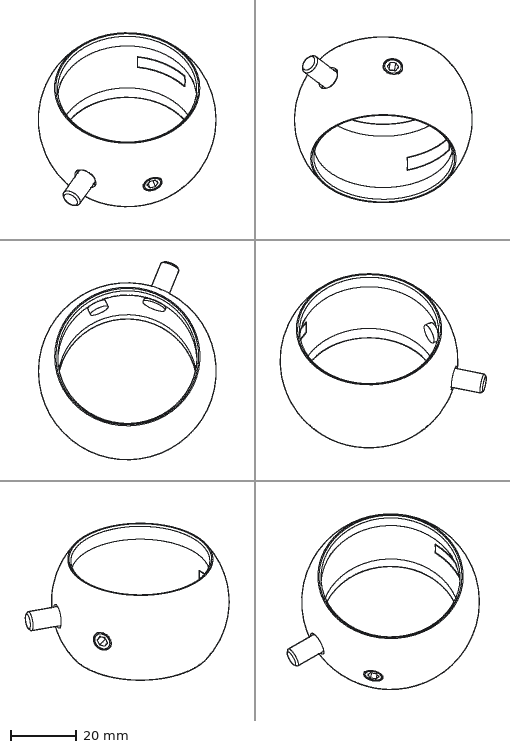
import cadquery as cq
import math

overall_length = 63.8

ball_radius = 27.25
rim_radius = 22.25
ring_height = 30.0
bore_radius = 21.3
bore_chamfer = 0.6
hollow_height = 19.8

label_height = 4.85
label_half_angle = 20.5
label_depth = 0.2

pin_angle = -90.0
pin_radius = 3.0
pin_length = 14.05
pin_chamfer = 0.65
shank_radius = 3.65
shoulder_recess = 1.0

screw_radius = 3.0
screw_angle = -45.0
screw_length = 5.75
screw_recess = 0.2
screw_chamfer = 0.45
hex_across_flats = 3.0
hex_depth = 3.8

hole_overrun = 3.2

pin_tip = overall_length - ball_radius
pin_inner_end = pin_tip - pin_length
shoulder_face = ball_radius - shoulder_recess
hollow_radius = math.hypot(bore_radius, hollow_height / 2)
screw_face = ball_radius - screw_recess
screw_inner_end = screw_face - screw_length
hex_corner_diameter = hex_across_flats / math.cos(math.radians(30))


def point_along(solid, angle):
    """Turn a shape built along +X so that it points at the given angle about Z."""
    return solid.rotate((0, 0, 0), (0, 0, 1), angle)


def radial_rod(inner_end, outer_end, radius):
    """Cylinder along +X between two distances from the ring axis."""
    return cq.Workplane("YZ", origin=(inner_end, 0, 0)).circle(radius).extrude(outer_end - inner_end)


def ring_blank():
    """Revolved ring section with a bulging outside and a bore chamfered at both rims."""
    half_height = ring_height / 2
    straight_half = half_height - bore_chamfer
    lead_in_radius = bore_radius + bore_chamfer
    section = (
        cq.Workplane("XZ")
        .moveTo(bore_radius, -straight_half)
        .lineTo(lead_in_radius, -half_height)
        .lineTo(rim_radius, -half_height)
        .threePointArc((ball_radius, 0), (rim_radius, half_height))
        .lineTo(lead_in_radius, half_height)
        .lineTo(bore_radius, straight_half)
        .close()
    )
    return section.revolve(360, (0, 0, 0), (0, 1, 0))


def label_recess():
    """Curved pocket tool: a wedge of a slightly larger ball, limited in height."""
    reach = 2 * ball_radius
    half_width = reach * math.tan(math.radians(label_half_angle))
    wedge = (
        cq.Workplane("XY", origin=(0, 0, -label_height / 2))
        .polyline([(0, 0), (reach, -half_width), (reach, half_width)])
        .close()
        .extrude(label_height)
    )
    pocket = wedge.intersect(cq.Workplane("XY").sphere(hollow_radius + label_depth))
    return point_along(pocket, pin_angle + 180)


def pin_hole():
    """Through hole that fits the shank of the pin."""
    hole = radial_rod(pin_inner_end - hole_overrun, ball_radius + hole_overrun, shank_radius)
    return point_along(hole, pin_angle)


def screw_hole():
    """Through hole for the set screw."""
    hole = radial_rod(screw_inner_end - hole_overrun, ball_radius + hole_overrun, screw_radius)
    return point_along(hole, screw_angle)


def make_ring():
    hollow = cq.Workplane("XY").sphere(hollow_radius)
    ring = ring_blank().cut(hollow).cut(label_recess())
    return ring.cut(pin_hole()).cut(screw_hole())


def make_pin():
    """Round pin with a chamfered tip on a thicker shank with a chamfered shoulder."""
    pin = radial_rod(pin_inner_end, pin_tip, pin_radius).faces(">X").chamfer(pin_chamfer)
    shank = radial_rod(pin_inner_end, shoulder_face, shank_radius)
    shank = shank.faces(">X").chamfer(shank_radius - pin_radius)
    return point_along(pin.union(shank), pin_angle)


def make_set_screw():
    """Headless screw with a chamfered face and a hexagon socket."""
    screw = radial_rod(screw_inner_end, screw_face, screw_radius)
    screw = screw.faces(">X").chamfer(screw_chamfer)
    socket = (
        cq.Workplane("YZ", origin=(screw_face - hex_depth, 0, 0))
        .polygon(6, hex_corner_diameter)
        .extrude(hex_depth)
    )
    return point_along(screw.cut(socket), screw_angle)


ring = make_ring()
pin = make_pin()
set_screw = make_set_screw()

bodies = [ring, pin, set_screw]
result = cq.Compound.makeCompound([body.solids().val() for body in bodies])